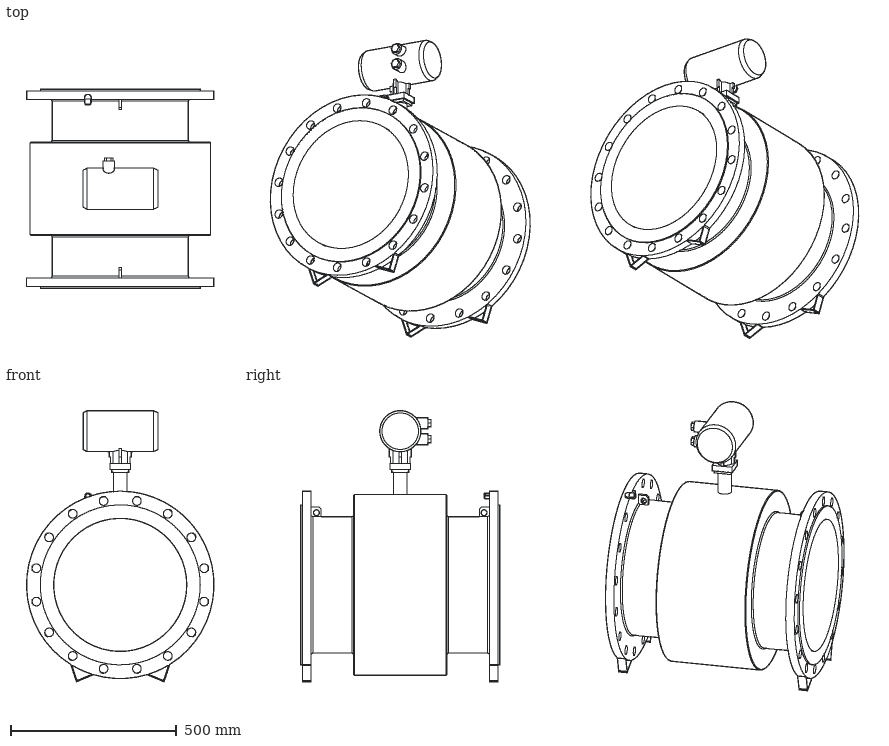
import cadquery as cq

overall_length = 600.0
flange_diameter = 565.0
flange_thickness = 26.5
raised_face_diameter = 482.0
raised_face_height = 5.0
neck_diameter = 411.0
bore_diameter = 400.0
body_diameter = 545.0
body_length = 281.0
body_edge_chamfer = 2.5
weld_height = 3.0
weld_length = 5.0

bolt_count = 16
bolt_circle_diameter = 515.0
bolt_hole_diameter = 26.0

lug_thickness = 9.0
lug_length = 30.5
lug_top = 235.0
lug_chamfer = 7.0
lug_hole_diameter = 17.0
lug_hole_setback = 16.0
lug_hole_height = 217.5

foot_leg_angles = (71.5, 157.5)
foot_leg_length = 65.0
foot_plate_thickness = 3.0
foot_corner_x = 132.0
foot_bottom = -292.0

terminal_angle = 20.0
terminal_radius = 285.0
terminal_front_y = 252.0
terminal_length = 32.5
terminal_width = 21.0
terminal_thickness = 5.0
screw_head_diameter = 18.0
screw_head_length = 18.0
screw_head_chamfer = 3.0

stem_diameter = 42.0
lower_plate_width = 52.0
lower_plate_bottom = 339.2
block_bottom = 347.2
block_width = 62.0
block_height = 18.0
column_diameter = 45.0
rib_thickness = 8.0
rib_base_width = 60.0
rib_top_width = 67.0
rib_step_drop = 16.0

housing_diameter = 124.0
housing_top = 525.0
housing_left = -112.0
housing_right = 114.0
cap_diameter = 113.0
cap_face_diameter = 110.0
left_cap_length = 12.0
right_cap_length = 14.0
cap_edge = 2.0

gland_x = -34.8
gland_offset = 24.0
gland_diameter = 34.0
gland_end_y = 83.0
plug_sides = 6
plug_across_corners = 26.0
plug_length = 10.0

half_length = overall_length / 2
flange_outer_y = half_length - raised_face_height
flange_inner_y = flange_outer_y - flange_thickness
flange_radius = flange_diameter / 2
neck_radius = neck_diameter / 2
body_radius = body_diameter / 2
body_half = body_length / 2
housing_radius = housing_diameter / 2
housing_z = housing_top - housing_radius
block_top = block_bottom + block_height


def cylinder_y(diameter, start_y, end_y, x=0.0, z=0.0):
    """Cylinder along Y between two Y positions."""
    plane = cq.Workplane("XZ", origin=(x, start_y, z))
    return plane.circle(diameter / 2).extrude(start_y - end_y)


def block(width_x, width_y, bottom, top):
    """Rectangular block centred on the Z axis between two heights."""
    plane = cq.Workplane("XY", origin=(0, 0, bottom))
    return plane.rect(width_x, width_y).extrude(top - bottom)


def make_tube():
    """Flanges, necks and coil body revolved from one symmetric profile."""
    rear_profile = [
        (body_radius, body_half - body_edge_chamfer),
        (body_radius - body_edge_chamfer, body_half),
        (neck_radius + weld_height, body_half),
        (neck_radius, body_half + weld_length),
        (neck_radius, flange_inner_y - weld_length),
        (neck_radius + weld_height, flange_inner_y),
        (flange_radius, flange_inner_y),
        (flange_radius, flange_outer_y),
        (raised_face_diameter / 2, flange_outer_y),
        (raised_face_diameter / 2, half_length),
        (0, half_length),
    ]
    front_profile = [(radius, -y) for radius, y in reversed(rear_profile)]
    profile = cq.Workplane("XY").polyline(front_profile + rear_profile).close()
    return profile.revolve(360, (0, 0, 0), (0, 1, 0))


def make_bolt_holes():
    """Bolt holes straddling the vertical centre line, through one flange."""
    return (
        cq.Workplane("XZ", origin=(0, flange_outer_y, 0))
        .polarArray(bolt_circle_diameter / 2, 180 / bolt_count, 360, bolt_count)
        .circle(bolt_hole_diameter / 2)
        .extrude(flange_thickness)
    )


def make_lug():
    """Lifting eye standing on the neck, against the rear flange."""
    root_z = neck_radius - lug_chamfer
    tip_y = flange_inner_y - lug_length
    return (
        cq.Workplane("YZ", origin=(-lug_thickness / 2, 0, 0))
        .moveTo(flange_inner_y, root_z)
        .lineTo(flange_inner_y, lug_top)
        .lineTo(tip_y + lug_chamfer, lug_top)
        .lineTo(tip_y, lug_top - lug_chamfer)
        .lineTo(tip_y, root_z)
        .close()
        .moveTo(flange_inner_y - lug_hole_setback, lug_hole_height)
        .circle(lug_hole_diameter / 2)
        .extrude(lug_thickness)
    )


def make_foot():
    """Two-legged foot under the +X side of the rear flange, legs ending in its rim."""
    outer_angle, inner_angle = foot_leg_angles
    leg = (
        cq.Workplane("XZ", origin=(0, flange_outer_y, 0))
        .rect(foot_leg_length, foot_plate_thickness, centered=False)
        .extrude(flange_thickness)
    )
    outer_leg = leg.rotate((0, 0, 0), (0, 1, 0), -outer_angle)
    inner_leg = leg.mirror("XY").rotate((0, 0, 0), (0, 1, 0), -inner_angle)
    return outer_leg.union(inner_leg).translate((foot_corner_x, 0, foot_bottom))


def make_terminal():
    """Rounded terminal plate lying on the flange rim, with a screw head at its front."""
    plate = (
        cq.Workplane("XY", origin=(0, terminal_front_y + terminal_length / 2, terminal_radius))
        .slot2D(terminal_length, terminal_width, 90)
        .extrude(terminal_thickness / 2, both=True)
    )
    head_end = terminal_front_y + screw_head_length
    head = cylinder_y(screw_head_diameter, terminal_front_y, head_end, 0, terminal_radius)
    head = head.faces("<Y").chamfer(screw_head_chamfer)
    return plate.union(head).rotate((0, 0, 0), (0, 1, 0), -terminal_angle)


def make_neck():
    """Stem, square plates and ribbed column carrying the housing."""
    stem = cq.Workplane("XY", origin=(0, 0, neck_radius)).circle(stem_diameter / 2)
    neck = stem.extrude(block_bottom - neck_radius)
    neck = neck.union(block(lower_plate_width, lower_plate_width, lower_plate_bottom, block_bottom))
    neck = neck.union(block(block_width, block_width, block_bottom, block_top))
    column = cq.Workplane("XY", origin=(0, 0, block_top)).circle(column_diameter / 2)
    neck = neck.union(column.extrude(housing_z - block_top))
    step_z = housing_z - housing_radius - rib_step_drop
    for width, bottom in ((rib_base_width, block_top), (rib_top_width, step_z)):
        neck = neck.union(block(width, rib_thickness, bottom, housing_z))
        neck = neck.union(block(rib_thickness, width, bottom, housing_z))
    return neck


def make_housing():
    """Cylindrical housing with tapered end caps."""
    face_radius = cap_face_diameter / 2
    cap_radius = cap_diameter / 2
    return (
        cq.Workplane("XZ")
        .moveTo(housing_left, 0)
        .lineTo(housing_left, face_radius)
        .lineTo(housing_left + cap_edge, cap_radius)
        .lineTo(housing_left + left_cap_length, housing_radius)
        .lineTo(housing_right - right_cap_length, housing_radius)
        .lineTo(housing_right - cap_edge, cap_radius)
        .lineTo(housing_right, face_radius)
        .lineTo(housing_right, 0)
        .close()
        .revolve(360, (0, 0, 0), (1, 0, 0))
        .translate((0, 0, housing_z))
    )


def make_gland(z):
    """Cable gland with a hexagonal plug on the rear of the housing."""
    gland = cylinder_y(gland_diameter, 0, gland_end_y, gland_x, z)
    plug = (
        cq.Workplane("XZ", origin=(gland_x, gland_end_y, z))
        .polygon(plug_sides, plug_across_corners)
        .extrude(-plug_length)
    )
    return gland.union(plug)


holes = make_bolt_holes()
foot = make_foot()
feet = foot.union(foot.mirror("YZ"))

result = make_tube()
for end_part in (make_lug(), feet):
    result = result.union(end_part).union(end_part.mirror("XZ"))
result = result.cut(holes).cut(holes.mirror("XZ"))
result = result.union(make_terminal()).union(make_neck())
result = result.cut(cylinder_y(bore_diameter, -half_length, half_length))

result = result.union(make_housing())
for side in (-1, 1):
    result = result.union(make_gland(housing_z + side * gland_offset))